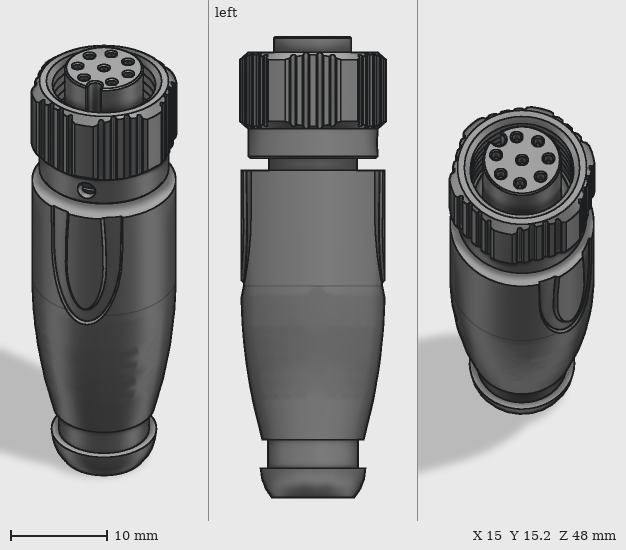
import cadquery as cq
import math

total_height = 48.0
cap_top_z = 3.05
grip_bottom_z = 6.05
grip_taper_z = 22.1
grip_top_z = 34.1
collar_bottom_z = 35.35
nut_bottom_z = 38.4
nut_top_z = 46.35
bore_floor_z = 39.35

cap_bottom_radius = 4.25
cap_radius = 5.45
cap_arc_middle = (5.05, 1.15)
rear_neck_radius = 4.7
grip_bottom_radius = 5.3
grip_radius = 7.5
front_neck_radius = 4.6
collar_radius = 6.745
collar_chamfer = 0.25

recess_depth = 0.3
recess_chamfer = 0.265
recess_top_half_width = 3.65
recess_half_width = 3.6
recess_round_z = 29.5
recess_tip_z = 21.0
island_top_half_width = 1.95
island_half_width = 2.2
island_round_z = 27.85
island_tip_z = 22.4

nut_radius = 7.61
nut_apothem = 7.03
nut_rim_radius = 6.7
nut_chamfer_height = 0.75
flute_depth = 0.35
flute_mouth_half_width = 0.4
flute_half_width = 0.25
flute_edge_depth = 0.15
flute_offsets = (-2.05, -0.7, 0.7, 2.05)
thread_major_radius = 6.0
thread_minor_radius = 5.4
thread_pitch = 1.0
thread_turns = 5
bore_chamfer_height = 0.45

marker_radius = 0.95
marker_z = 36.95
marker_floor_radius = 5.75
marker_slot_radius = 5.3
marker_slot_bottom_z = 36.35
marker_slot_top_z = 37.65

insert_radius = 4.1
insert_chamfer = 0.17
seal_radius = 5.0
seal_height = 0.9
seal_edge = 0.1
key_half_width = 0.65
key_mouth_chamfer = 0.2
key_inner_radius = 2.75
contact_circle_radius = 2.76
contact_count = 7
contact_step = 49.0
contact_radius = 0.5
contact_mouth_radius = 0.65
contact_depth = 1.45


def cylinder(radius, bottom, top):
    """Solid cylinder on the Z axis between two heights."""
    return cq.Workplane("XY").workplane(offset=bottom).circle(radius).extrude(top - bottom)


def turned(points):
    """Solid of revolution about Z from (radius, height) corners."""
    return cq.Workplane("XZ").polyline(points).close().revolve(360, (0, 0), (0, 1))


def make_shell():
    """Cap, rear neck, tapering grip and front neck as one turned solid."""
    taper_height = grip_taper_z - grip_bottom_z
    taper_drop = grip_radius - grip_bottom_radius
    taper_arc_radius = (taper_height**2 + taper_drop**2) / (2 * taper_drop)
    return (
        cq.Workplane("XZ")
        .lineTo(cap_bottom_radius, 0)
        .threePointArc(cap_arc_middle, (cap_radius, cap_top_z))
        .lineTo(rear_neck_radius, cap_top_z)
        .lineTo(rear_neck_radius, grip_bottom_z)
        .lineTo(grip_bottom_radius, grip_bottom_z)
        .radiusArc((grip_radius, grip_taper_z), -taper_arc_radius)
        .lineTo(grip_radius, grip_top_z)
        .lineTo(front_neck_radius, grip_top_z)
        .lineTo(front_neck_radius, collar_bottom_z)
        .lineTo(0, collar_bottom_z)
        .close()
        .revolve(360, (0, 0), (0, 1))
    )


def tongue(top_half_width, half_width, round_z, tip_z):
    """Tongue along Y: gently curved sides above round_z, half an ellipse below it."""
    bulge = (half_width - top_half_width) / 4
    side_middle = ((half_width + top_half_width) / 2 + bulge, (round_z + grip_top_z) / 2)
    half = (
        cq.Workplane("XZ")
        .moveTo(0, grip_top_z)
        .lineTo(top_half_width, grip_top_z)
        .threePointArc(side_middle, (half_width, round_z))
        .ellipseArc(half_width, round_z - tip_z, -90, 0, startAtCurrent=True, sense=-1)
        .close()
        .extrude(2 * grip_radius, both=True)
    )
    return half.union(half.mirror("YZ"))


def make_recess():
    """U-shaped recesses around raised islands, one on each Y side of the grip."""
    skin = cylinder(2 * grip_radius, 0, grip_top_z).cut(
        cylinder(grip_radius - recess_depth, 0, grip_top_z)
    )
    outer = tongue(recess_top_half_width, recess_half_width, recess_round_z, recess_tip_z)
    island = tongue(island_top_half_width, island_half_width, island_round_z, island_tip_z)
    return outer.cut(island).intersect(skin)


def make_flute(offset):
    """Round-bottomed groove with bevelled edges in the +X flat of the nut."""
    shoulder_x = nut_apothem - flute_edge_depth
    return (
        cq.Workplane("XY")
        .workplane(offset=nut_bottom_z)
        .moveTo(nut_apothem, offset - flute_mouth_half_width)
        .lineTo(shoulder_x, offset - flute_half_width)
        .threePointArc((nut_apothem - flute_depth, offset), (shoulder_x, offset + flute_half_width))
        .lineTo(nut_apothem, offset + flute_mouth_half_width)
        .close()
        .extrude(nut_top_z - nut_bottom_z)
    )


def make_nut():
    """Rounded hexagon with fluted flats, conical ends and a threaded bore."""
    hexagon = cq.Workplane("XY").workplane(offset=nut_bottom_z).polygon(
        6, 2 * nut_apothem, circumscribed=True
    ).extrude(nut_top_z - nut_bottom_z)
    envelope = turned([
        (0, nut_bottom_z),
        (nut_rim_radius, nut_bottom_z),
        (nut_radius, nut_bottom_z + nut_chamfer_height),
        (nut_radius, nut_top_z - nut_chamfer_height),
        (nut_rim_radius, nut_top_z),
        (0, nut_top_z),
    ])
    nut = hexagon.intersect(envelope)
    flutes = make_flute(flute_offsets[0])
    for offset in flute_offsets[1:]:
        flutes = flutes.union(make_flute(offset))
    for side in range(6):
        nut = nut.cut(flutes.rotate((0, 0, 0), (0, 0, 1), 60 * side))
    return nut


def make_bore():
    """Bore of the nut with a chamfered mouth and thread shown as ring grooves."""
    points = [(0, bore_floor_z), (thread_minor_radius, bore_floor_z)]
    mouth_z = nut_top_z - bore_chamfer_height
    for turn in range(thread_turns, 0, -1):
        crest_z = mouth_z - turn * thread_pitch
        points.append((thread_minor_radius, crest_z))
        points.append((thread_major_radius, crest_z + thread_pitch / 2))
    points.append((thread_minor_radius, mouth_z))
    points.append((thread_major_radius, nut_top_z))
    points.append((0, nut_top_z))
    return turned(points)


def make_collar():
    """Smooth collar below the nut with a radial marker hole on the -Y side."""
    collar = cylinder(collar_radius, collar_bottom_z, nut_bottom_z)
    collar = collar.faces("<Z").chamfer(collar_chamfer)
    marker = (
        cq.Workplane("XZ")
        .center(0, marker_z)
        .circle(marker_radius)
        .extrude(2 * collar_radius)
        .cut(cylinder(marker_floor_radius, collar_bottom_z, marker_slot_bottom_z))
        .cut(cylinder(marker_floor_radius, marker_slot_top_z, nut_bottom_z))
        .cut(cylinder(marker_slot_radius, collar_bottom_z, nut_bottom_z))
    )
    return collar.cut(marker)


def make_insert():
    """Round insert with a keyway on the -Y side and countersunk contact holes."""
    insert = cylinder(insert_radius, bore_floor_z, total_height)
    key_center_y = -(key_inner_radius + key_half_width)
    keyway = cylinder(key_half_width, bore_floor_z, total_height).translate((0, key_center_y, 0))
    keyway = keyway.union(
        cq.Workplane("XY")
        .workplane(offset=bore_floor_z)
        .center(0, key_center_y - key_half_width)
        .rect(2 * key_half_width, 2 * key_half_width)
        .extrude(total_height - bore_floor_z)
    )
    insert = insert.cut(keyway)
    key_mouth = cq.selectors.BoxSelector(
        (-insert_radius, -insert_radius, bore_floor_z),
        (insert_radius, key_center_y - key_half_width / 2, total_height),
    )
    insert = insert.edges("|Z").edges(key_mouth).chamfer(key_mouth_chamfer)
    insert = insert.faces(">Z").chamfer(insert_chamfer)
    hole_floor_z = total_height - contact_depth
    mouth_depth = contact_mouth_radius - contact_radius
    hole = turned([
        (0, hole_floor_z),
        (contact_radius, hole_floor_z),
        (contact_radius, total_height - mouth_depth),
        (contact_mouth_radius, total_height),
        (0, total_height),
    ])
    insert = insert.cut(hole)
    for index in range(contact_count):
        angle = (index - (contact_count - 1) / 2) * contact_step
        placed = hole.translate((0, contact_circle_radius, 0))
        insert = insert.cut(placed.rotate((0, 0, 0), (0, 0, 1), angle))
    return insert


def make_seal():
    """Round-shouldered sealing ring around the foot of the insert."""
    seal = cylinder(seal_radius, bore_floor_z, bore_floor_z + seal_height)
    return seal.faces(">Z").fillet(seal_height - seal_edge).cut(
        cylinder(insert_radius, bore_floor_z, total_height)
    )


def is_recess_rim(edge):
    """True for the climbing edges of the recesses that lie on the grip surface."""
    middle = edge.positionAt(0.5)
    on_surface = math.hypot(middle.x, middle.y) > grip_radius - recess_depth / 2
    on_grip = grip_bottom_z < middle.z < grip_top_z
    beside_island = abs(middle.y) > grip_radius / 2
    return on_surface and on_grip and beside_island and edge.BoundingBox().zlen > recess_depth


shell = make_shell().cut(make_recess())
shell = shell.edges().filter(is_recess_rim).chamfer(recess_chamfer)
nut = make_nut().cut(make_bore())
result = shell.union(make_collar()).union(nut).union(make_insert()).union(make_seal())